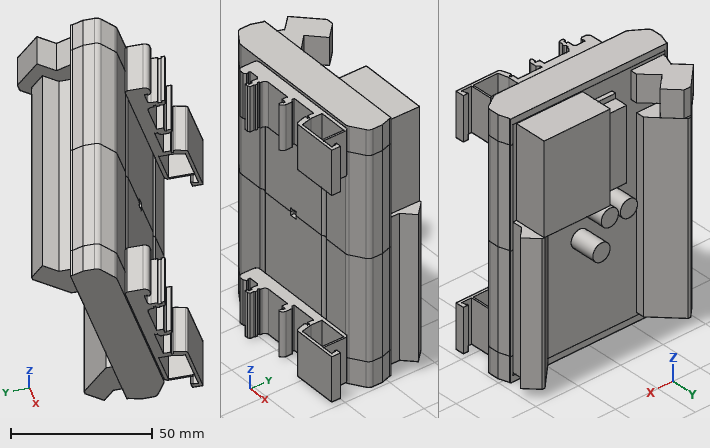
import cadquery as cq


total_length = 112.4
cap_length = 11.2
housing_half_width = 38.4
rim_half_width = 37.0
rim_height = 0.7
shoulder_depth = 5.1
side_corner_depth = 10.7
floor_half_width = 31.2
housing_depth = 15.4
housing_corner_radius = 2.5

rim_wall = 1.1
end_wall = 2.8
board_thickness = 1.6
board_half_width = rim_half_width - rim_wall

groove_wall_depth = 0.3
groove_depth = 0.6
left_groove_start = -19.5
left_groove_arc_start = -18.7
left_groove_arc_end = -17.1
left_groove_end = -16.3
right_groove_start = 16.5
right_groove_arc_end = 18.9
right_groove_end = 19.3
latch_pocket_size = 3.0
latch_pocket_depth = 1.6

foot_length = 19.8
foot_end_gap = 1.2
foot_bottom = -27.7
foot_top_chamfer = 0.9
heel_x = -21.0
heel_bottom = -24.2
heel_radius = 1.9
lip_x = -16.7
lip_chamfer_run = 1.0
lip_chamfer_rise = 0.7
lip_top = -22.6
lip_undercut_x = -17.1
spring_gap_ceiling = -21.6
left_hook_x = -12.1
left_hook_notch_x = -11.4
left_hook_right = -9.4
left_hook_fillet = 1.7
rail_seat = -20.5
hook_shoulder = -22.9
right_hook_left = 3.1
right_hook_tip_left = 4.6
right_hook_neck = 5.1
right_hook_right = 6.6
right_hook_back = 5.4
recess_ceiling = -19.1
lever_left = 16.6
lever_slot_end = 17.8
lever_slot_top = -21.8
lever_slot_bottom = -22.6
lever_corner_radius = 1.0
lever_right = 32.1
lever_right_wall = 0.8
lever_inner_ceiling = -16.9
lever_inner_floor = -26.4
catch_right = housing_half_width
catch_top = -23.7
catch_lip_bottom = -24.5

connector_z_low = 3.9
left_connector_z_high = 89.0
right_connector_z_high = 68.1
left_tip_x = -40.5
right_tip_x = 40.6
tip_height = 9.3
connector_height = 14.8
neck_inset = 4.7
connector_top_width = 1.3
connector_base_width = 13.3

plug_z_low = 96.0
plug_z_high = 108.2

box_x_left = 3.0
box_x_right = 34.2
box_z_high = 109.3
header_x_left = -10.9
header_z_high = 103.4
header_height = 7.8
header_ledge_height = 1.9
header_ledge_width = 2.2

capacitor_diameter = 8.1
capacitors = [(-10.3, 58.5, 9.7), (-1.3, 58.5, 9.7), (4.4, 47.2, 11.7)]


def plan(z_low):
    """Work plane at height z_low whose local axes are the part's X and Y."""
    return cq.Workplane("XY").workplane(offset=z_low)


def block(x_low, x_high, y_low, y_high, z_low, z_high):
    size = (x_high - x_low, y_high - y_low, z_high - z_low)
    return cq.Workplane("XY").box(*size, centered=False).translate((x_low, y_low, z_low))


def bare_board():
    return block(
        -board_half_width, board_half_width, -board_thickness, 0, end_wall, total_length - end_wall
    )


def edge_connector(tip_x, inward, z_high):
    """Connector with a pointed outer side; inward is +1 or -1, the X direction off the tip."""
    rise = connector_height - tip_height
    top_inner = rise + connector_top_width
    back = neck_inset + connector_base_width
    back_height = connector_height - (back - top_inner)
    outline = [
        (neck_inset, 0),
        (neck_inset, tip_height - neck_inset),
        (0, tip_height),
        (rise, connector_height),
        (top_inner, connector_height),
        (back, back_height),
        (back, 0),
    ]
    points = [(tip_x + inward * run, height) for run, height in outline]
    return plan(connector_z_low).polyline(points).close().extrude(z_high - connector_z_low)


def angled_plug():
    outline = [
        (-35.4, 0),
        (-33.3, 6.2),
        (-38.9, 11.8),
        (-28.9, 21.8),
        (-25.7, 21.8),
        (-19.7, 15.7),
        (-26.2, 9.3),
        (-19.7, 3.0),
        (-19.7, 0),
    ]
    return plan(plug_z_low).polyline(outline).close().extrude(plug_z_high - plug_z_low)


def tall_box():
    return block(box_x_left, box_x_right, 0, connector_height, right_connector_z_high, box_z_high)


def stepped_header():
    z_low = right_connector_z_high
    z_step = header_z_high - header_ledge_width
    tall_part = block(header_x_left, box_x_left, 0, header_height, z_low, z_step)
    ledge = block(header_x_left, box_x_left, 0, header_ledge_height, z_step, header_z_high)
    return tall_part.union(ledge)


def capacitor(x, z, height):
    axis_start = cq.Vector(x, 0, z)
    return cq.Workplane(
        cq.Solid.makeCylinder(capacitor_diameter / 2, height, axis_start, cq.Vector(0, 1, 0))
    )


def equipped_board():
    board = bare_board()
    board = board.union(edge_connector(left_tip_x, 1, left_connector_z_high))
    board = board.union(edge_connector(right_tip_x, -1, right_connector_z_high))
    board = board.union(angled_plug())
    board = board.union(tall_box())
    board = board.union(stepped_header())
    for x, z, height in capacitors:
        board = board.union(capacitor(x, z, height))
    return board


def housing_segment(z_low, length):
    """Length of the housing section with the seat for the board cut into its rim."""
    half_outline = [
        (rim_half_width, 0),
        (rim_half_width, -rim_height),
        (housing_half_width, -shoulder_depth),
        (housing_half_width, -side_corner_depth),
        (floor_half_width, -housing_depth),
    ]
    mirrored = [(-x, y) for x, y in reversed(half_outline)]
    segment = plan(z_low).polyline(half_outline + mirrored).close().extrude(length)
    middle = z_low + length / 2
    for side in (-1, 1):
        for x, y in ((housing_half_width, -side_corner_depth), (floor_half_width, -housing_depth)):
            corner = cq.selectors.NearestToPointSelector((side * x, y, middle))
            segment = segment.edges("|Z").edges(corner).fillet(housing_corner_radius)
    return segment.cut(bare_board())


def floor_grooves(z_low, length):
    """Two shallow round-bottomed grooves along the underside."""
    floor_y = -housing_depth
    wall_y = floor_y + groove_wall_depth
    bottom_y = floor_y + groove_depth

    left_groove = (
        plan(z_low)
        .moveTo(left_groove_start, floor_y)
        .lineTo(left_groove_arc_start, wall_y)
        .threePointArc(
            ((left_groove_arc_start + left_groove_arc_end) / 2, bottom_y),
            (left_groove_arc_end, wall_y),
        )
        .lineTo(left_groove_end, floor_y)
        .close()
        .extrude(length)
    )
    right_groove = (
        plan(z_low)
        .moveTo(right_groove_start, floor_y)
        .threePointArc(
            ((right_groove_start + right_groove_arc_end) / 2, bottom_y),
            (right_groove_arc_end, wall_y),
        )
        .lineTo(right_groove_end, floor_y)
        .close()
        .extrude(length)
    )
    return left_groove.union(right_groove)


def latch_pocket():
    """Square blind pocket shared by the two base modules where they meet."""
    half = latch_pocket_size / 2
    middle = total_length / 2
    floor_y = -housing_depth
    return block(-half, half, floor_y, floor_y + latch_pocket_depth, middle - half, middle + half)


def end_cap(z_low):
    return housing_segment(z_low, cap_length)


def base_module(z_low, length):
    return housing_segment(z_low, length).cut(floor_grooves(z_low, length)).cut(latch_pocket())


def add_lines(profile, points):
    for x, y in points:
        profile = profile.lineTo(x, y)
    return profile


def add_arc(profile, start, end, radius):
    """Line to start, then an arc to end; a negative radius bulges out of the foot."""
    return profile.lineTo(*start).radiusArc(end, radius)


def add_heel(profile):
    """Heel on the left with its inward lip."""
    profile = profile.moveTo(heel_x + foot_top_chamfer, -housing_depth)
    profile = profile.lineTo(heel_x, -housing_depth - foot_top_chamfer)
    profile = add_arc(
        profile, (heel_x, heel_bottom + heel_radius), (heel_x + heel_radius, heel_bottom), -heel_radius
    )
    return add_lines(profile, [
        (lip_x - lip_chamfer_run, heel_bottom),
        (lip_x, heel_bottom + lip_chamfer_rise),
        (lip_x, lip_top),
        (lip_undercut_x, lip_top),
        (lip_undercut_x, spring_gap_ceiling),
    ])


def add_left_hook(profile):
    """Left rail hook, notched on both sides."""
    profile = add_arc(profile, (-13.2, spring_gap_ceiling), (left_hook_x, lip_top), 1.0)
    profile = add_lines(profile, [
        (left_hook_x, -25.1),
        (left_hook_notch_x, -25.1),
        (left_hook_notch_x, lever_inner_floor),
        (left_hook_x, lever_inner_floor),
        (left_hook_x, foot_bottom),
        (-10.8, foot_bottom),
        (-9.8, -27.2),
        (-9.8, -25.4),
        (left_hook_right, -25.0),
        (left_hook_right, -24.2),
        (-10.1, -23.7),
        (-10.1, hook_shoulder),
        (left_hook_right, hook_shoulder),
    ])
    fillet_start = (left_hook_right, rail_seat - left_hook_fillet)
    fillet_end = (left_hook_right + left_hook_fillet, rail_seat)
    return add_arc(profile, fillet_start, fillet_end, left_hook_fillet)


def add_right_hook(profile):
    """Right rail hook with its rounded tip."""
    profile = add_lines(profile, [
        (right_hook_left, rail_seat),
        (right_hook_left, hook_shoulder),
        (right_hook_neck, hook_shoulder),
        (right_hook_neck, -23.6),
        (right_hook_tip_left, -23.6),
        (right_hook_tip_left, -25.4),
    ])
    profile = add_arc(profile, (right_hook_neck, -25.6), (right_hook_right, -23.7), -2.2)
    return add_lines(profile, [
        (right_hook_right, -20.9),
        (right_hook_back, -20.1),
        (right_hook_back, recess_ceiling),
    ])


def add_lever(profile):
    """Release lever: slot at its hinge, sloping left side, floor and the catch on the right."""
    profile = add_lines(profile, [
        (lever_left, recess_ceiling),
        (lever_left, lever_slot_top),
        (lever_slot_end, lever_slot_top),
        (lever_slot_end, lever_slot_bottom),
        (lever_left, lever_slot_bottom),
        (lever_left, -23.5),
    ])
    profile = add_arc(profile, (17.8, -27.0), (18.8, foot_bottom), -lever_corner_radius)
    return add_lines(profile, [
        (catch_right, foot_bottom),
        (catch_right, catch_top),
        (36.1, catch_top),
        (36.1, catch_lip_bottom),
        (36.4, catch_lip_bottom),
        (36.9, lever_inner_floor),
        (lever_right, lever_inner_floor),
        (lever_right, -housing_depth - foot_top_chamfer),
        (lever_right - foot_top_chamfer, -housing_depth),
    ])


def lever_opening(z_low):
    right = lever_right - lever_right_wall
    outline = [
        (18.7, lever_inner_ceiling),
        (18.7, lever_slot_top),
        (19.8, lever_inner_floor),
        (right, lever_inner_floor),
        (right, lever_inner_ceiling),
    ]
    return plan(z_low).polyline(outline).close().extrude(foot_length)


def rail_foot(z_low):
    """Constant-section foot with rail hooks and a hollow release lever."""
    profile = plan(z_low)
    for add_section in (add_heel, add_left_hook, add_right_hook, add_lever):
        profile = add_section(profile)
    return profile.close().extrude(foot_length).cut(lever_opening(z_low))


base_length = total_length / 2 - cap_length
cap_starts = [0, total_length - cap_length]
base_starts = [cap_length, total_length / 2]
foot_starts = [foot_end_gap, total_length - foot_end_gap - foot_length]

board = equipped_board()
end_caps = [end_cap(z) for z in cap_starts]
base_modules = [base_module(z, base_length) for z in base_starts]
rail_feet = [rail_foot(z) for z in foot_starts]

bodies = [board, *end_caps, *base_modules, *rail_feet]
result = cq.Compound.makeCompound([body.val() for body in bodies])